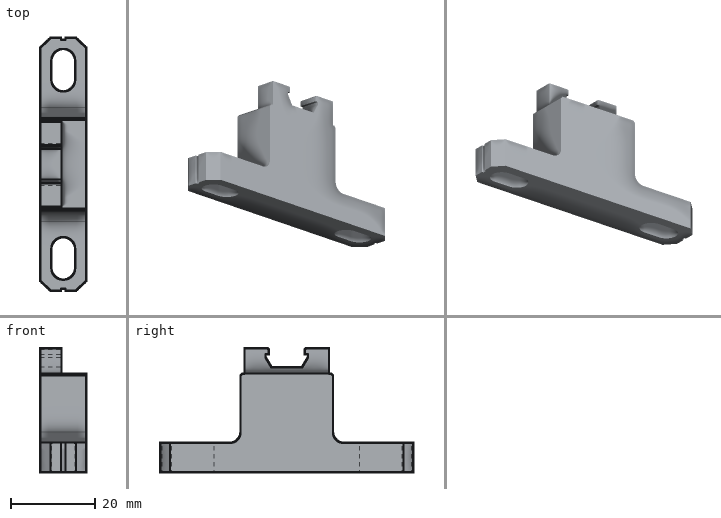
import cadquery as cq

width = 11.0
length = 60.0
base_height = 7.0
corner_x = 2.5
corner_y = 2.4
notch_width = 0.95
notch_depth = 0.5

slot_width = 5.6
slot_length = 10.0
slot_end_margin = 2.7

total_height = 29.4
head_height = 6.0
block_width = 21.95
block_chamfer = 0.5
root_radius = 2.5

head_thickness = 5.1
head_width = 20.05
channel_depth = 4.5
channel_mouth = 8.5
channel_inner_width = 9.95
channel_floor_width = 7.2
lip_height = 1.45
channel_wall_end = 2.15
lip_chamfer = 0.3

shoulder_z = total_height - head_height


def make_base():
    half_x = width / 2
    half_y = length / 2
    bar = cq.Workplane("XY").box(width, length, base_height, centered=(True, True, False))
    corner = (
        cq.Workplane("XY")
        .moveTo(half_x, half_y)
        .lineTo(half_x - corner_x, half_y)
        .lineTo(half_x, half_y - corner_y)
        .close()
        .extrude(base_height)
    )
    corners = corner.union(corner.mirror("YZ"))
    corners = corners.union(corners.mirror("XZ"))
    notches = (
        cq.Workplane("XY")
        .pushPoints([(0, half_y), (0, -half_y)])
        .rect(notch_width, 2 * notch_depth)
        .extrude(base_height)
    )
    slot_y = half_y - slot_end_margin - slot_length / 2
    slots = (
        cq.Workplane("XY")
        .pushPoints([(0, slot_y), (0, -slot_y)])
        .slot2D(slot_length, slot_width, 90)
        .extrude(base_height)
    )
    return bar.cut(corners).cut(notches).cut(slots)


def make_block():
    """Upright block with chamfered shoulders and concave roots onto the base."""
    half = block_width / 2
    foot = half + root_radius
    root_top = base_height + root_radius
    return (
        cq.Workplane("YZ", origin=(-width / 2, 0, 0))
        .moveTo(-foot, 0)
        .lineTo(-foot, base_height)
        .radiusArc((-half, root_top), -root_radius)
        .lineTo(-half, shoulder_z - block_chamfer)
        .lineTo(-half + block_chamfer, shoulder_z)
        .lineTo(half - block_chamfer, shoulder_z)
        .lineTo(half, shoulder_z - block_chamfer)
        .lineTo(half, root_top)
        .radiusArc((foot, base_height), -root_radius)
        .lineTo(foot, 0)
        .close()
        .extrude(width)
    )


def make_head():
    """Head whose channel has overhanging lips and walls sloping in to its floor."""
    half = head_width / 2
    mouth = channel_mouth / 2
    inner = channel_inner_width / 2
    lip_z = total_height - lip_height
    right_side = [
        (channel_floor_width / 2, total_height - channel_depth),
        (inner, total_height - channel_wall_end),
        (inner, lip_z),
        (mouth, lip_z),
        (mouth, total_height - lip_chamfer),
        (mouth + lip_chamfer, total_height),
        (half, total_height),
        (half, shoulder_z),
    ]
    left_side = [(-y, z) for y, z in reversed(right_side)]
    return (
        cq.Workplane("YZ", origin=(-width / 2, 0, 0))
        .polyline(right_side + left_side)
        .close()
        .extrude(head_thickness)
    )


result = make_base().union(make_block()).union(make_head())